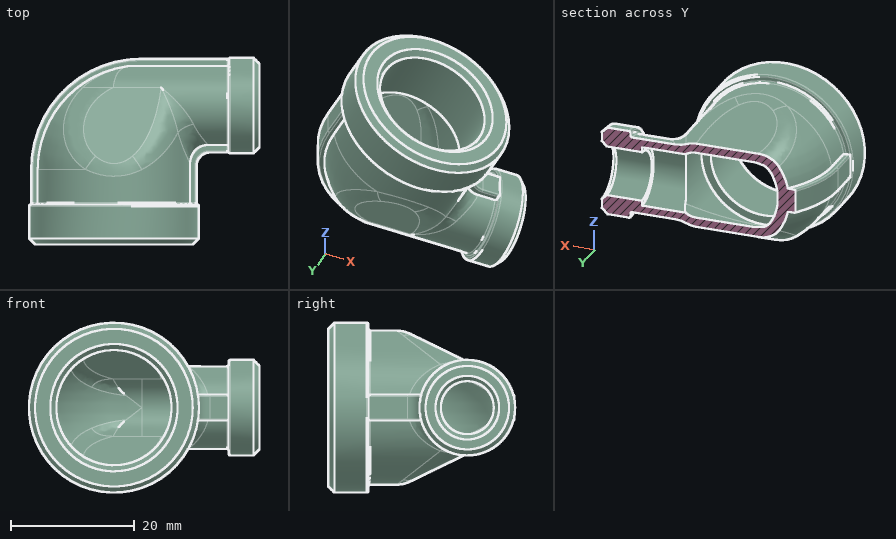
import cadquery as cq
import math


main_collar_d = 27.5
main_collar_length = 6.5
main_body_d = 25.0
main_thread_d = 18.63
main_mouth_d = 20.6
main_thread_length = 10.5
main_face_y = -22.48

branch_collar_d = 15.5
branch_collar_length = 5.0
branch_body_d = 13.4
branch_thread_d = 8.57
branch_mouth_d = 10.3
branch_passage_d = 10.3
branch_thread_length = 7.0
branch_face_x = 23.55

collar_chamfer = 1.0
collar_edge_round = 0.3
collar_root_round = 0.3

wall = (branch_body_d - branch_passage_d) / 2
bend_x = 4.5
bend_y = branch_body_d / 2 - main_body_d / 2 - bend_x
flat_angle = math.radians(26.0)
flat_round = 4.7
crotch_round = 3.0

rib_thickness = 4.2
rib_height = 0.9
rib_edge_round = 0.3
rib_core = 1.5

main_r = main_body_d / 2
branch_r = branch_body_d / 2
main_thread_end_y = main_face_y + main_thread_length
branch_thread_end_x = branch_face_x - branch_thread_length
main_root_y = main_face_y + main_collar_length + collar_root_round
branch_root_x = branch_face_x - branch_collar_length - collar_root_round

room = 40.0


def cylinder_y(diameter, y_start, y_end):
    return cq.Workplane("XZ", origin=(0, y_start, 0)).circle(diameter / 2).extrude(y_start - y_end)


def cylinder_x(diameter, x_start, x_end):
    return cq.Workplane("YZ", origin=(x_start, 0, 0)).circle(diameter / 2).extrude(x_end - x_start)


def block(x_start, x_end, y_start, y_end):
    """Block between the given X and Y limits, reaching well past the part in Z."""
    return (
        cq.Workplane("XY")
        .box(x_end - x_start, y_end - y_start, 2 * room, centered=(False, False, True))
        .translate((x_start, y_start, 0))
    )


def turned_tube(main_r):
    """Main tube turned through the bend, up to the bend axis."""
    section = (
        cq.Workplane("XZ", origin=(0, bend_y, 0))
        .moveTo(bend_x, main_r)
        .lineTo(0, main_r)
        .threePointArc((-main_r, 0), (0, -main_r))
        .lineTo(bend_x, -main_r)
        .close()
    )
    quarter_turn = section.revolve(90, (bend_x, 0), (bend_x, -1))
    left = quarter_turn.intersect(block(-room, 0, -room, room))
    middle = quarter_turn.intersect(cylinder_y(2 * main_r, bend_y, room)).intersect(block(0, bend_x, -room, room))
    straight = cylinder_y(2 * main_r, main_face_y, bend_y).intersect(block(-room, bend_x, -room, room))
    return straight.union(left).union(middle)


def flat_z(y, branch_r):
    """Height of the upper flat, which is tangent to the branch tube."""
    return (branch_r - y * math.sin(flat_angle)) / math.cos(flat_angle)


def wedge(branch_r):
    """Space between the two flats, running on past the branch tube."""
    y_low = -room
    y_high = branch_r + 1
    return (
        cq.Workplane("YZ", origin=(-room, 0, 0))
        .moveTo(y_low, -flat_z(y_low, branch_r))
        .lineTo(y_high, -flat_z(y_high, branch_r))
        .lineTo(y_high, flat_z(y_high, branch_r))
        .lineTo(y_low, flat_z(y_low, branch_r))
        .close()
        .extrude(2 * room)
    )


def capped_wedge(branch_r):
    """Space between the two flats, closed over by the branch tube."""
    y_low = -room
    tangent_y = branch_r * math.sin(flat_angle)
    tangent_z = branch_r * math.cos(flat_angle)
    return (
        cq.Workplane("YZ", origin=(-room, 0, 0))
        .moveTo(y_low, -flat_z(y_low, branch_r))
        .lineTo(tangent_y, -tangent_z)
        .threePointArc((branch_r, 0), (tangent_y, tangent_z))
        .lineTo(y_low, flat_z(y_low, branch_r))
        .close()
        .extrude(2 * room)
    )


def round_flats(bend, radius):
    """Round the rims where the flats cut the curved walls of the bend."""
    flats = [f for f in bend.faces("#X").vals() if is_flat(f)]
    walls = [f for f in bend.faces().vals() if f.geomType() != "PLANE"]
    wall_edges = [edge for wall in walls for edge in wall.Edges()]
    rims = [edge for flat in flats for edge in flat.Edges() if any(edge.isSame(w) for w in wall_edges)]
    return bend.newObject(rims).fillet(radius)


def is_flat(face):
    return face.geomType() == "PLANE" and abs(abs(face.normalAt().z) - math.cos(flat_angle)) < 1e-6


def elbow(main_r, branch_r, round_radius):
    """Smooth elbow body, used at full size outside and reduced by the wall inside."""
    tangent_y = branch_r * math.sin(flat_angle)
    turned = turned_tube(main_r)
    beyond = cylinder_y(2 * main_r, main_face_y, tangent_y).intersect(block(bend_x, room, -room, room))
    lower = turned.intersect(block(-room, room, -room, tangent_y)).union(beyond)
    lower = round_flats(lower.intersect(wedge(branch_r)), round_radius)
    crown = round_flats(turned.intersect(wedge(branch_r)), round_radius)
    crown = crown.intersect(block(-room, bend_x, tangent_y, room)).intersect(capped_wedge(branch_r))
    branch = cylinder_x(2 * branch_r, bend_x, branch_face_x)
    return lower.union(crown).union(branch)


def round_crotch(body):
    """Round the inner corner where the branch leaves the main tube."""
    crotch = [
        edge
        for edge in body.edges().vals()
        if edge.geomType() == "BSPLINE"
        and edge.Center().x > branch_r
        and edge.BoundingBox().zlen > branch_r
        and edge.Center().y < 0
    ]
    return body.newObject(crotch).fillet(crotch_round)


def rib():
    """Flat rib following the silhouette of the elbow, with softened edges."""
    outer_x = main_r + rib_height
    outer_y = branch_r + rib_height
    collar_y = main_face_y + main_collar_length
    collar_x = branch_face_x - branch_collar_length
    bend_r = outer_x + bend_x
    diagonal = bend_r * math.sqrt(0.5)
    corner_r = crotch_round - rib_height
    return (
        cq.Workplane("XY", origin=(0, 0, -rib_thickness / 2))
        .moveTo(-outer_x, collar_y)
        .lineTo(-outer_x, bend_y)
        .threePointArc((bend_x - diagonal, bend_y + diagonal), (bend_x, outer_y))
        .lineTo(collar_x, outer_y)
        .lineTo(collar_x, -outer_y)
        .lineTo(outer_x + corner_r, -outer_y)
        .radiusArc((outer_x, -outer_y - corner_r), -corner_r)
        .lineTo(outer_x, collar_y)
        .close()
        .extrude(rib_thickness)
        .faces("|Z")
        .edges()
        .fillet(rib_edge_round)
    )


def collar(collar_d, body_d, length):
    """Collar turned about X, open face at X = 0 and root at X = -length."""
    outer_r = collar_d / 2
    body_r = body_d / 2
    diagonal = 1 - math.sqrt(0.5)
    edge = collar_edge_round
    root = collar_root_round
    return (
        cq.Workplane("XY")
        .moveTo(0, 0)
        .lineTo(0, outer_r - collar_chamfer)
        .lineTo(-collar_chamfer, outer_r)
        .lineTo(edge - length, outer_r)
        .threePointArc(
            (edge * diagonal - length, outer_r - edge * diagonal), (-length, outer_r - edge)
        )
        .lineTo(-length, body_r + root)
        .threePointArc(
            (-length - root * diagonal, body_r + root * diagonal), (-length - root, body_r)
        )
        .lineTo(-length - root, 0)
        .close()
        .revolve(360, (0, 0), (1, 0))
    )


def bore(thread_d, mouth_d, length):
    """Thread bore along X with a 45 degree mouth, open face at X = 0."""
    mouth_depth = (mouth_d - thread_d) / 2
    return (
        cq.Workplane("XY")
        .moveTo(0, 0)
        .lineTo(0, mouth_d / 2)
        .lineTo(-mouth_depth, thread_d / 2)
        .lineTo(-length, thread_d / 2)
        .lineTo(-length, 0)
        .close()
        .revolve(360, (0, 0), (1, 0))
    )


def at_main_port(shape):
    return shape.rotate((0, 0, 0), (0, 0, 1), -90).translate((0, main_face_y, 0))


def at_branch_port(shape):
    return shape.translate((branch_face_x, 0, 0))


def passage():
    """Hollow of the fitting: the elbow reduced by the wall, with a thread bore at each port."""
    hollow = elbow(main_r - wall, branch_r - wall, flat_round - wall)
    hollow = hollow.intersect(block(-room, branch_thread_end_x, main_thread_end_y, room))
    main_bore = bore(main_thread_d, main_mouth_d, main_thread_length)
    branch_bore = bore(branch_thread_d, branch_mouth_d, branch_thread_length)
    return hollow.union(at_main_port(main_bore)).union(at_branch_port(branch_bore))


def elbow_shell():
    """Outside of the elbow between the collars: two cheeks joined by the rib."""
    smooth = round_crotch(elbow(main_r, branch_r, flat_round))
    cheek = smooth.intersect(block(-room, branch_root_x, main_root_y, room))
    cheek = cheek.intersect(block(-room, room, -room, room).translate((0, 0, room + rib_core)))
    return rib().union(cheek).union(cheek.mirror("XY"))


main_collar = at_main_port(collar(main_collar_d, main_body_d, main_collar_length))
branch_collar = at_branch_port(collar(branch_collar_d, branch_body_d, branch_collar_length))
result = elbow_shell().union(main_collar).union(branch_collar).cut(passage())